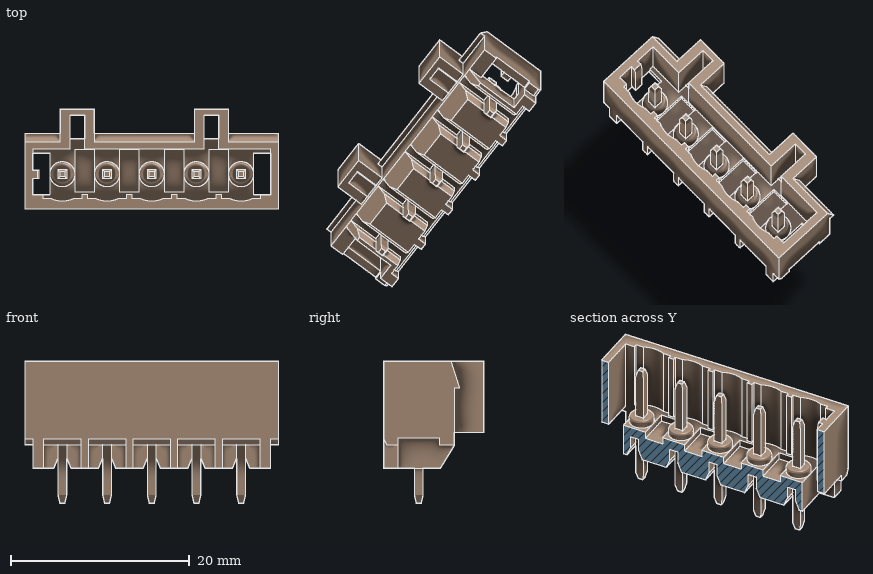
import cadquery as cq

LENGTH = 28.4
TOP_Z = 12.0
SKIRT_Z = 2.65
SKIRT_CHAMFER_DEPTH = 0.35
SKIRT_CHAMFER_HEIGHT = 0.68
BACK_Y = 7.9

LIP_Y = 8.5
LIP_Z = 9.0
LIP_TOP_Y = 7.53

PIN_COUNT = 5
PITCH = 5.0
PIN_Y = 3.92
PIN_SIZE = 1.0
PIN_TIP_SIZE = 0.57
PIN_BOTTOM_Z = -3.9
PIN_TOP_Z = 11.08
PIN_LOWER_TAPER = 0.9
PIN_UPPER_TAPER = 0.85
pin_y_range = (PIN_Y - PIN_SIZE / 2, PIN_Y + PIN_SIZE / 2)
pin_xs = [(i - (PIN_COUNT - 1) / 2) * PITCH for i in range(PIN_COUNT)]
gap_xs = [(left + right) / 2 for left, right in zip(pin_xs, pin_xs[1:])]

WALL = 0.9
FLOOR_Z = 4.0
CAVITY_FRONT_Y = 1.62
CAVITY_BACK_Y = 6.75
RECESS_Y = 1.2
RECESS_END_MARGIN = 1.1
RIB_WIDTH = 0.62
SCALLOP_RADIUS = 3.0
half_cavity = LENGTH / 2 - WALL

BOSS_DIAMETER = 2.8
BOSS_HEIGHT = 0.85
BOSS_ROUNDING = 0.4
POCKET_FRONT_Y = 1.9
POCKET_BACK_Y = 6.67
POCKET_DEPTH = 0.85

OPENING_BACK_Y = 6.25
NOTCH_Z = 3.4
half_base = pin_xs[-1] + BOSS_DIAMETER / 2

BASE_FRONT_Y = 0.97
BASE_SLOPE_Z = 2.55
BASE_SLOPE_Y = 6.33
FOOT_GAP = 4.2
SLOT_FLARE_WIDTH = 1.93
SLOT_FLARE_HEIGHT = 1.15

TOWER_WIDTH = 3.83
TOWER_SLOT_WIDTH = 1.62
TOWER_BACK_Y = 11.2
TOWER_SLOT_BACK_Y = 10.5
TOWER_OFFSET = 1.68
TOWER_PINS = (0, 3)
tower_xs = [pin_xs[i] + TOWER_OFFSET for i in TOWER_PINS]

KEY_Y = 3.9
KEY_WIDTH = 0.97
KEY_TOP_LENGTH = 0.5
KEY_LENGTH = 0.68
KEY_TAPER_HEIGHT = 1.1


def block(x_range, y_range, z_range):
    """Box between the given limits."""
    (x0, x1), (y0, y1), (z0, z1) = x_range, y_range, z_range
    return cq.Workplane("XY").box(x1 - x0, y1 - y0, z1 - z0, centered=False).translate((x0, y0, z0))


def centred_block(x, width, y_range, z_range):
    """Box of the given width, centred on x."""
    return block((x - width / 2, x + width / 2), y_range, z_range)


def side_prism(points, width, x=0.0):
    """(Y, Z) outline extruded to the given width, centred on x."""
    return cq.Workplane("YZ").polyline(points).close().extrude(width / 2, both=True).translate((x, 0, 0))


def make_shell():
    return side_prism(
        [
            (0, SKIRT_Z + SKIRT_CHAMFER_HEIGHT),
            (SKIRT_CHAMFER_DEPTH, SKIRT_Z),
            (BACK_Y, SKIRT_Z),
            (BACK_Y, LIP_Z),
            (LIP_Y, LIP_Z),
            (LIP_TOP_Y, TOP_Z),
            (0, TOP_Z),
        ],
        LENGTH,
    )


def make_base():
    return side_prism(
        [
            (BASE_FRONT_Y, 0),
            (BASE_SLOPE_Y, 0),
            (BACK_Y, BASE_SLOPE_Z),
            (BACK_Y, SKIRT_Z),
            (BASE_FRONT_Y, SKIRT_Z),
        ],
        2 * half_base,
    )


def make_front_feet():
    """Front strip under the shell, split into feet by a gap in front of each pin."""
    chamfer_top_z = SKIRT_Z + SKIRT_CHAMFER_HEIGHT
    feet = block((-half_cavity, half_cavity), (0, CAVITY_FRONT_Y), (0, chamfer_top_z))
    gap_outline = [
        (0, 0),
        (BASE_FRONT_Y, 0),
        (BASE_FRONT_Y, SKIRT_Z),
        (SKIRT_CHAMFER_DEPTH, SKIRT_Z),
        (0, chamfer_top_z),
    ]
    for x in pin_xs:
        feet = feet.cut(side_prism(gap_outline, FOOT_GAP, x))
    return feet


def make_cavity():
    """Plug space: full-depth box plus the ribbed and scalloped recess in the front wall."""
    half_recess = half_cavity - RECESS_END_MARGIN
    recess = block((-half_recess, half_recess), (RECESS_Y, CAVITY_FRONT_Y), (FLOOR_Z, TOP_Z))
    for x in pin_xs:
        pin_axis = cq.Workplane("XY", origin=(x, PIN_Y, FLOOR_Z))
        scallop = pin_axis.circle(SCALLOP_RADIUS).extrude(TOP_Z - FLOOR_Z)
        front = centred_block(x, PITCH - RIB_WIDTH, (0, CAVITY_FRONT_Y), (FLOOR_Z, TOP_Z))
        recess = recess.union(scallop.intersect(front))
    for x in gap_xs:
        recess = recess.cut(centred_block(x, RIB_WIDTH, (0, CAVITY_FRONT_Y), (FLOOR_Z, TOP_Z)))
    main = block((-half_cavity, half_cavity), (CAVITY_FRONT_Y, CAVITY_BACK_Y), (FLOOR_Z, TOP_Z))
    return main.union(recess)


def make_boss(x):
    boss = cq.Workplane("XY", origin=(x, PIN_Y, FLOOR_Z)).circle(BOSS_DIAMETER / 2).extrude(BOSS_HEIGHT)
    return boss.faces(">Z").edges().fillet(BOSS_ROUNDING)


def make_key():
    """Coding key on the left end wall, tapered at its top."""
    tip_x = KEY_LENGTH - half_cavity
    outline = [
        (-half_cavity, FLOOR_Z),
        (tip_x, FLOOR_Z),
        (tip_x, TOP_Z - KEY_TAPER_HEIGHT),
        (KEY_TOP_LENGTH - half_cavity, TOP_Z),
        (-half_cavity, TOP_Z),
    ]
    key = cq.Workplane("XZ").polyline(outline).close().extrude(KEY_WIDTH / 2, both=True)
    return key.translate((0, KEY_Y, 0))


def make_pin_slot(x):
    """Pin-wide slot through the base, flared at its lower end."""
    outline = [
        (x - SLOT_FLARE_WIDTH / 2, 0),
        (x - PIN_SIZE / 2, SLOT_FLARE_HEIGHT),
        (x - PIN_SIZE / 2, SKIRT_Z),
        (x + PIN_SIZE / 2, SKIRT_Z),
        (x + PIN_SIZE / 2, SLOT_FLARE_HEIGHT),
        (x + SLOT_FLARE_WIDTH / 2, 0),
    ]
    return cq.Workplane("XZ").polyline(outline).close().extrude(-BACK_Y)


def make_housing():
    """Shell, base, feet and towers, hollowed out, with the key and the bored bosses added."""
    housing = make_shell().union(make_base()).union(make_front_feet())
    for x in tower_xs:
        housing = housing.union(
            centred_block(x, TOWER_WIDTH, (CAVITY_BACK_Y, TOWER_BACK_Y), (FLOOR_Z, TOP_Z))
        )

    housing = housing.cut(make_cavity())
    for x in tower_xs:
        housing = housing.cut(
            centred_block(x, TOWER_SLOT_WIDTH, (CAVITY_BACK_Y, TOWER_SLOT_BACK_Y), (FLOOR_Z, TOP_Z))
        )
    for x in gap_xs:
        housing = housing.cut(
            centred_block(
                x, PITCH - BOSS_DIAMETER, (POCKET_FRONT_Y, POCKET_BACK_Y), (FLOOR_Z - POCKET_DEPTH, FLOOR_Z)
            )
        )
    opening_y = (CAVITY_FRONT_Y, OPENING_BACK_Y)
    for x0, x1 in [(-half_cavity, -half_base), (half_base, half_cavity)]:
        housing = housing.cut(block((x0, x1), opening_y, (0, FLOOR_Z)))
    for x0, x1 in [(-LENGTH / 2, -half_cavity), (half_cavity, LENGTH / 2)]:
        housing = housing.cut(block((x0, x1), opening_y, (0, NOTCH_Z)))

    housing = housing.union(make_key())
    for x in pin_xs:
        housing = housing.union(make_boss(x)).cut(make_pin_slot(x))
        housing = housing.cut(centred_block(x, PIN_SIZE, pin_y_range, (0, TOP_Z)))
    return housing


def pin_tip(x, z, height):
    """Square taper from the full pin size at z to the tip size."""
    tip = cq.Workplane("XY").rect(PIN_SIZE, PIN_SIZE).workplane(offset=height)
    return tip.rect(PIN_TIP_SIZE, PIN_TIP_SIZE).loft(ruled=True).translate((x, PIN_Y, z))


def make_pin(x):
    shank_bottom_z = PIN_BOTTOM_Z + PIN_LOWER_TAPER
    shank_top_z = PIN_TOP_Z - PIN_UPPER_TAPER
    shank = centred_block(x, PIN_SIZE, pin_y_range, (shank_bottom_z, shank_top_z))
    lower_tip = pin_tip(x, shank_bottom_z, -PIN_LOWER_TAPER)
    upper_tip = pin_tip(x, shank_top_z, PIN_UPPER_TAPER)
    return shank.union(lower_tip).union(upper_tip)


housing = make_housing()
pins = [make_pin(x) for x in pin_xs]

result = cq.Compound.makeCompound([housing.val(), *[pin.val() for pin in pins]])